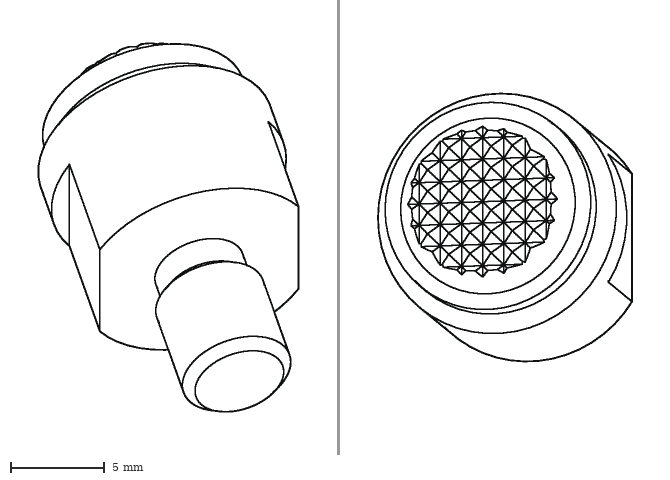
import cadquery as cq
import math

overall_length = 21.0

ball_radius = 5.02
ball_center_x = 3.5
tooth_pitch = 1.15
tooth_depth = tooth_pitch / 2
ridges_per_side = 5

head_diameter = 13.0
head_radius = head_diameter / 2
lip_radius = 5.6
lip_front_x = 1.91
lip_back_x = 3.3
cone_back_x = 4.26
shoulder_x = 13.0

flat_distance = 5.5
flat_front_x = 6.93

neck_radius = 2.45
neck_length = 1.6
stud_radius = 3.0
stud_chamfer = stud_radius - neck_radius


def make_ball_blank():
    """Sphere about the X axis, cut off flat at X = 0."""
    rim_radius = math.sqrt(ball_radius**2 - ball_center_x**2)
    half_profile = (
        cq.Workplane("XY")
        .lineTo(0, rim_radius)
        .threePointArc((ball_center_x, ball_radius), (ball_center_x + ball_radius, 0))
        .close()
    )
    return half_profile.revolve(360, (0, 0, 0), (1, 0, 0))


def make_ridges():
    """Ridged block with its straight ridges along Z and their crests on X = 0."""
    half_width = ridges_per_side * tooth_pitch
    back_x = ball_center_x + 2 * ball_radius
    outline = [(back_x, -half_width), (tooth_depth, -half_width)]
    for ridge in range(-ridges_per_side, ridges_per_side):
        crest_y = (ridge + 0.5) * tooth_pitch
        outline.append((0, crest_y))
        outline.append((tooth_depth, crest_y + tooth_pitch / 2))
    outline.append((back_x, half_width))
    return cq.Workplane("XY").polyline(outline).close().extrude(half_width, both=True)


def make_ball():
    """Crossing two sets of ridges leaves pyramids on the front of the ball."""
    ridges = make_ridges()
    crossing_ridges = ridges.rotate((0, 0, 0), (1, 0, 0), 90)
    return make_ball_blank().intersect(ridges).intersect(crossing_ridges)


def make_turned_body():
    """Solid of revolution with the head, neck and chamfered stud."""
    neck_back_x = shoulder_x + neck_length
    half_profile = [
        (lip_front_x, 0),
        (lip_front_x, lip_radius),
        (lip_back_x, lip_radius),
        (cone_back_x, head_radius),
        (shoulder_x, head_radius),
        (shoulder_x, neck_radius),
        (neck_back_x, neck_radius),
        (neck_back_x + stud_chamfer, stud_radius),
        (overall_length - stud_chamfer, stud_radius),
        (overall_length, stud_radius - stud_chamfer),
        (overall_length, 0),
    ]
    return cq.Workplane("XY").polyline(half_profile).close().revolve(360, (0, 0, 0), (1, 0, 0))


def make_flat_cutter(side):
    """Block outside one wrench flat; side is +1 or -1 along Y."""
    flat_length = shoulder_x - flat_front_x
    cutter = cq.Workplane("XY").box(flat_length, head_radius, 2 * head_radius)
    center_y = side * (flat_distance + head_radius / 2)
    return cutter.translate((flat_front_x + flat_length / 2, center_y, 0))


def make_housing():
    """Turned body with two wrench flats and a spherical socket for the ball."""
    housing = make_turned_body()
    for side in (-1, 1):
        housing = housing.cut(make_flat_cutter(side))
    return housing.cut(make_ball_blank())


ball = make_ball()
housing = make_housing()

result = cq.Compound.makeCompound([housing.solids().val(), ball.solids().val()])